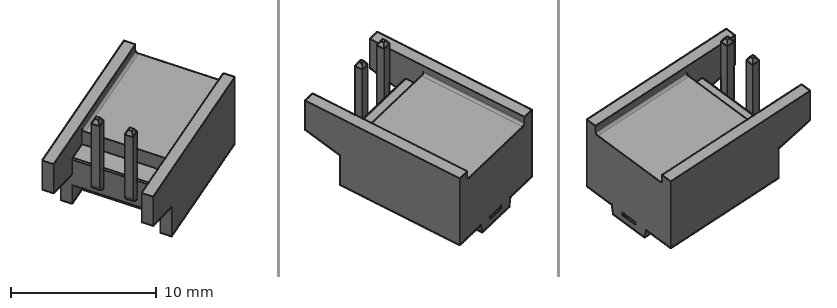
import cadquery as cq

width = 8.43
length = 13.14
total_height = 10.11

wall_thickness = 0.88
wall_height = 6.37
wing_length = 2.97
wing_bottom_front = 3.58
wing_bottom_back = 2.81
floor_height = 5.60
floor_fillet = 0.20
channel_width = width - 2 * wall_thickness
body_front = wing_length - length
wing_front = -length

nose_depth = 1.58
nose_top = 4.32
nose_bottom = 1.70
nose_chamfer = 0.10

pin_pitch = 2.54
pin_size = 0.64
pin_bend_bottom = 2.47
pin_tip_height = 0.36
pin_tip_size = 0.26

foot_height = 0.82
foot_length = 2.94
foot_top_width = 3.44
foot_bottom_width = 3.18
foot_slot_width = 1.34
foot_slot_depth = 0.23

pin_top = total_height - foot_height


def make_wall(x_start):
    """Side wall with a forward wing whose underside slopes up to the front."""
    outline = [
        (0, 0),
        (0, wall_height),
        (wing_front, wall_height),
        (wing_front, wing_bottom_front),
        (body_front, wing_bottom_back),
        (body_front, 0),
    ]
    return cq.Workplane("YZ").workplane(offset=x_start).polyline(outline).close().extrude(wall_thickness)


def make_core():
    """Block between the walls, stepped down to a nose that is undercut below."""
    block_front = body_front + nose_depth
    outline = [
        (0, 0),
        (0, floor_height),
        (block_front, floor_height),
        (block_front, nose_top),
        (body_front + nose_chamfer, nose_top),
        (body_front, nose_top - nose_chamfer),
        (body_front, nose_bottom + nose_chamfer),
        (body_front + nose_chamfer, nose_bottom),
        (block_front, nose_bottom),
        (block_front, 0),
    ]
    plane = cq.Workplane("YZ").workplane(offset=-channel_width / 2)
    return plane.polyline(outline).close().extrude(channel_width)


def make_floor_fillet(side):
    """Concave fillet strip where the floor meets one wall (side is -1 or 1)."""
    wall_x = side * channel_width / 2
    floor_x = wall_x - side * floor_fillet
    fillet_top = floor_height + floor_fillet
    strip = (
        cq.Workplane("XZ")
        .moveTo(wall_x, floor_height)
        .lineTo(wall_x, fillet_top)
        .radiusArc((floor_x, floor_height), side * floor_fillet)
        .close()
    )
    return strip.extrude(-(body_front + nose_depth))


def make_pin(x_centre):
    """Square pin standing against the nose, rounded at its bend and tapered at its tip."""
    pin_front = body_front - pin_size
    shaft_top = pin_top - pin_tip_height
    shaft = (
        cq.Workplane("YZ")
        .workplane(offset=x_centre - pin_size / 2)
        .moveTo(body_front, pin_bend_bottom)
        .lineTo(body_front, shaft_top)
        .lineTo(pin_front, shaft_top)
        .lineTo(pin_front, pin_bend_bottom + pin_size)
        .radiusArc((body_front, pin_bend_bottom), -pin_size)
        .close()
        .extrude(pin_size)
    )
    tip = (
        cq.Workplane("XY", origin=(x_centre, body_front - pin_size / 2, shaft_top))
        .rect(pin_size, pin_size)
        .workplane(offset=pin_tip_height)
        .rect(pin_tip_size, pin_tip_size)
        .loft()
    )
    return shaft.union(tip)


def make_foot():
    """Tapered foot with a shallow slot running through it under the body."""
    outline = [
        (-foot_top_width / 2, 0),
        (-foot_bottom_width / 2, -foot_height),
        (foot_bottom_width / 2, -foot_height),
        (foot_top_width / 2, 0),
        (foot_slot_width / 2, 0),
        (foot_slot_width / 2, -foot_slot_depth),
        (-foot_slot_width / 2, -foot_slot_depth),
        (-foot_slot_width / 2, 0),
    ]
    return cq.Workplane("XZ").polyline(outline).close().extrude(foot_length)


result = make_core().union(make_foot())
for wall_start in (-width / 2, channel_width / 2):
    result = result.union(make_wall(wall_start))
for side in (-1, 1):
    result = result.union(make_floor_fillet(side))
    result = result.union(make_pin(side * pin_pitch / 2))